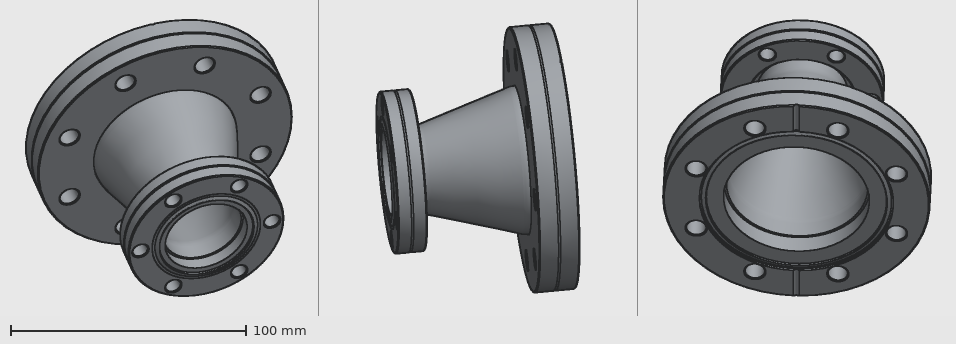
import cadquery as cq
import math


LARGE_DIAMETER = 113.5
LARGE_THICKNESS = 17.5
LARGE_BORE_DIAMETER = 62.0
LARGE_SOCKET_DIAMETER = 63.8
LARGE_SOCKET_FLOOR = 9.6
LARGE_RECESS_DIAMETER = 82.5
LARGE_KNIFE_DIAMETER = 77.3
LARGE_BOLT_COUNT = 8
LARGE_BOLT_CIRCLE = 92.2
LARGE_BOLT_HOLE_DIAMETER = 8.4

KNIFE_TIP_DEPTH = 0.5
KNIFE_INNER_HEIGHT = 0.8
KNIFE_SLOPE_HEIGHT = 0.7
KNIFE_SLOPE_WIDTH = 1.8
KNIFE_INNER_WIDTH = 0.3

LEAK_GROOVE_RADIUS = 1.4
LEAK_GROOVE_DEPTH = 0.8

TUBE_LARGE_DIAMETER = 63.5
TUBE_SMALL_DIAMETER = 38.1
TUBE_SMALL_BORE_DIAMETER = 34.8
WALL = (TUBE_SMALL_DIAMETER - TUBE_SMALL_BORE_DIAMETER) / 2
CONE_ANGLE = math.radians(17.0)
LARGE_BEND_START = LARGE_THICKNESS
LARGE_BEND_RADIUS = 10.2
SMALL_BEND_RADIUS = 10.2

OVERALL_LENGTH = 75.7
ROTATABLE_DIAMETER = 69.3
ROTATABLE_BACK = 62.4
ROTATABLE_FRONT = 75.0
ROTATABLE_BACK_BORE_DIAMETER = 45.2
ROTATABLE_SEAT_DIAMETER = 48.4
ROTATABLE_BOLT_COUNT = 6
ROTATABLE_BOLT_CIRCLE = 58.7
ROTATABLE_BOLT_HOLE_DIAMETER = 6.7

RING_DIAMETER = 48.2
RING_BACK = 67.4
RING_BORE_DIAMETER = 36.5
RING_SOCKET_DIAMETER = 38.6
RING_SOCKET_FLOOR = 69.2
RING_KNIFE_DIAMETER = 42.2

RIM_CHAMFER = 0.5
HOLE_CHAMFER = 0.5
RIM_GROOVE_WIDTH = 0.9
RIM_GROOVE_DEPTH = 0.2
MOUTH_CHAMFER = 0.6


def turn(profile):
    """Revolve a closed (x, radius) profile about the X axis."""
    return profile.close().revolve(360, (0, 0, 0), (1, 0, 0))


def disc(back, front, diameter):
    """A disc between two X positions, with chamfered rims."""
    blank = cq.Workplane("YZ", origin=(back, 0, 0)).circle(diameter / 2).extrude(front - back)
    return blank.edges().chamfer(RIM_CHAMFER)


def bore(back, front, diameter):
    """A cylinder along X, used to cut a bore between two X positions."""
    return cq.Workplane("YZ", origin=(back, 0, 0)).circle(diameter / 2).extrude(front - back)


def bolt_holes(back, front, count, circle_diameter, diameter, start_angle):
    """Through holes on a bolt circle, countersunk at both faces."""
    radius = diameter / 2
    mouth = radius + HOLE_CHAMFER
    profile = (
        cq.Workplane("XY")
        .moveTo(back, 0)
        .lineTo(back, mouth)
        .lineTo(back + HOLE_CHAMFER, radius)
        .lineTo(front - HOLE_CHAMFER, radius)
        .lineTo(front, mouth)
        .lineTo(front, 0)
    )
    first_hole = turn(profile).translate((0, circle_diameter / 2, 0))
    holes = cq.Workplane("XY")
    for index in range(count):
        angle = start_angle + index * 360 / count
        holes = holes.add(first_hole.rotate((0, 0, 0), (1, 0, 0), angle))
    return holes.combine()


def rim_groove(middle, diameter):
    """A shallow round-bottomed groove around the rim of a flange."""
    rim = diameter / 2
    profile = (
        cq.Workplane("XY")
        .moveTo(middle - RIM_GROOVE_WIDTH / 2, rim)
        .threePointArc((middle, rim - RIM_GROOVE_DEPTH), (middle + RIM_GROOVE_WIDTH / 2, rim))
    )
    return turn(profile)


def seal_recess():
    """The space cut from the large sealing face, leaving a knife edge inside it."""
    recess_radius = LARGE_RECESS_DIAMETER / 2
    tip_radius = LARGE_KNIFE_DIAMETER / 2
    slope_foot = KNIFE_TIP_DEPTH + KNIFE_SLOPE_HEIGHT
    profile = (
        cq.Workplane("XY")
        .moveTo(0, 0)
        .lineTo(0, recess_radius)
        .lineTo(slope_foot, recess_radius)
        .lineTo(slope_foot, tip_radius + KNIFE_SLOPE_WIDTH)
        .lineTo(KNIFE_TIP_DEPTH, tip_radius)
        .lineTo(KNIFE_TIP_DEPTH + KNIFE_INNER_HEIGHT, tip_radius - KNIFE_INNER_WIDTH)
        .lineTo(KNIFE_TIP_DEPTH + KNIFE_INNER_HEIGHT, 0)
    )
    return turn(profile)


def leak_grooves():
    """Round-bottomed grooves up and down the sealing face, from the recess to the rim."""
    axis_x = LEAK_GROOVE_DEPTH - LEAK_GROOVE_RADIUS
    cutter = (
        cq.Workplane("XY", origin=(axis_x, 0, 0))
        .circle(LEAK_GROOVE_RADIUS)
        .extrude(LARGE_DIAMETER / 2, both=True)
    )
    return cutter.cut(bore(-LARGE_THICKNESS, LARGE_THICKNESS, LARGE_RECESS_DIAMETER))


def make_large_flange():
    flange = disc(0, LARGE_THICKNESS, LARGE_DIAMETER)
    flange = flange.cut(bore(0, LARGE_THICKNESS, LARGE_BORE_DIAMETER))
    flange = flange.cut(bore(LARGE_SOCKET_FLOOR, LARGE_THICKNESS, LARGE_SOCKET_DIAMETER))
    flange = flange.cut(seal_recess())
    flange = flange.cut(leak_grooves())
    flange = flange.cut(rim_groove(LARGE_THICKNESS / 2, LARGE_DIAMETER))
    half_step = 180 / LARGE_BOLT_COUNT
    return flange.cut(
        bolt_holes(
            0, LARGE_THICKNESS, LARGE_BOLT_COUNT, LARGE_BOLT_CIRCLE, LARGE_BOLT_HOLE_DIAMETER, half_step
        )
    )


def make_reducer_tube():
    """A tube of even wall: straight, bend, cone, bend back, straight."""
    large_center_radius = TUBE_LARGE_DIAMETER / 2 - LARGE_BEND_RADIUS
    small_center_radius = TUBE_SMALL_DIAMETER / 2 + SMALL_BEND_RADIUS
    bend_radii = LARGE_BEND_RADIUS + SMALL_BEND_RADIUS
    total_drop = (TUBE_LARGE_DIAMETER - TUBE_SMALL_DIAMETER) / 2
    cone_drop = total_drop - bend_radii * (1 - math.cos(CONE_ANGLE))
    cone_length = cone_drop / math.tan(CONE_ANGLE)
    small_bend_end = LARGE_BEND_START + cone_length + bend_radii * math.sin(CONE_ANGLE)

    def large_bend_point(inset, angle):
        radius = LARGE_BEND_RADIUS - inset
        x = LARGE_BEND_START + radius * math.sin(angle)
        return (x, large_center_radius + radius * math.cos(angle))

    def small_bend_point(inset, angle):
        radius = SMALL_BEND_RADIUS + inset
        x = small_bend_end - radius * math.sin(angle)
        return (x, small_center_radius - radius * math.cos(angle))

    profile = (
        cq.Workplane("XY")
        .moveTo(LARGE_SOCKET_FLOOR, TUBE_LARGE_DIAMETER / 2)
        .lineTo(*large_bend_point(0, 0))
        .threePointArc(large_bend_point(0, CONE_ANGLE / 2), large_bend_point(0, CONE_ANGLE))
        .lineTo(*small_bend_point(0, CONE_ANGLE))
        .threePointArc(small_bend_point(0, CONE_ANGLE / 2), small_bend_point(0, 0))
        .lineTo(RING_SOCKET_FLOOR, TUBE_SMALL_DIAMETER / 2)
        .lineTo(RING_SOCKET_FLOOR, TUBE_SMALL_DIAMETER / 2 - WALL)
        .lineTo(*small_bend_point(WALL, 0))
        .threePointArc(small_bend_point(WALL, CONE_ANGLE / 2), small_bend_point(WALL, CONE_ANGLE))
        .lineTo(*large_bend_point(WALL, CONE_ANGLE))
        .threePointArc(large_bend_point(WALL, CONE_ANGLE / 2), large_bend_point(WALL, 0))
        .lineTo(LARGE_SOCKET_FLOOR, TUBE_LARGE_DIAMETER / 2 - WALL)
    )
    return turn(profile)


def make_weld_ring():
    """The ring welded to the small tube end, with a knife edge and a shoulder for the flange."""
    tip_radius = RING_KNIFE_DIAMETER / 2
    slope_foot = OVERALL_LENGTH - KNIFE_SLOPE_HEIGHT
    inner_flat = OVERALL_LENGTH - KNIFE_INNER_HEIGHT
    profile = (
        cq.Workplane("XY")
        .moveTo(RING_BACK, RING_SOCKET_DIAMETER / 2)
        .lineTo(RING_BACK, RING_DIAMETER / 2)
        .lineTo(slope_foot, RING_DIAMETER / 2)
        .lineTo(slope_foot, tip_radius + KNIFE_SLOPE_WIDTH)
        .lineTo(OVERALL_LENGTH, tip_radius)
        .lineTo(inner_flat, tip_radius - KNIFE_INNER_WIDTH)
        .lineTo(inner_flat, RING_BORE_DIAMETER / 2)
        .lineTo(RING_SOCKET_FLOOR, RING_BORE_DIAMETER / 2)
        .lineTo(RING_SOCKET_FLOOR, RING_SOCKET_DIAMETER / 2)
    )
    return turn(profile)


def back_mouth():
    """The conical lead-in that chamfers the back bore of the rotatable flange."""
    bore_radius = ROTATABLE_BACK_BORE_DIAMETER / 2
    profile = (
        cq.Workplane("XY")
        .moveTo(ROTATABLE_BACK, 0)
        .lineTo(ROTATABLE_BACK, bore_radius + MOUTH_CHAMFER)
        .lineTo(ROTATABLE_BACK + MOUTH_CHAMFER, bore_radius)
        .lineTo(ROTATABLE_BACK + MOUTH_CHAMFER, 0)
    )
    return turn(profile)


def make_rotatable_flange():
    middle = (ROTATABLE_BACK + ROTATABLE_FRONT) / 2
    flange = disc(ROTATABLE_BACK, ROTATABLE_FRONT, ROTATABLE_DIAMETER)
    flange = flange.cut(bore(ROTATABLE_BACK, ROTATABLE_FRONT, ROTATABLE_BACK_BORE_DIAMETER))
    flange = flange.cut(back_mouth())
    flange = flange.cut(bore(RING_BACK, ROTATABLE_FRONT, ROTATABLE_SEAT_DIAMETER))
    flange = flange.cut(rim_groove(middle, ROTATABLE_DIAMETER))
    return flange.cut(
        bolt_holes(
            ROTATABLE_BACK,
            ROTATABLE_FRONT,
            ROTATABLE_BOLT_COUNT,
            ROTATABLE_BOLT_CIRCLE,
            ROTATABLE_BOLT_HOLE_DIAMETER,
            0,
        )
    )


large_flange = make_large_flange()
reducer_tube = make_reducer_tube()
weld_ring = make_weld_ring()
rotatable_flange = make_rotatable_flange()

result = cq.Compound.makeCompound(
    [large_flange.val(), reducer_tube.val(), weld_ring.val(), rotatable_flange.val()]
)